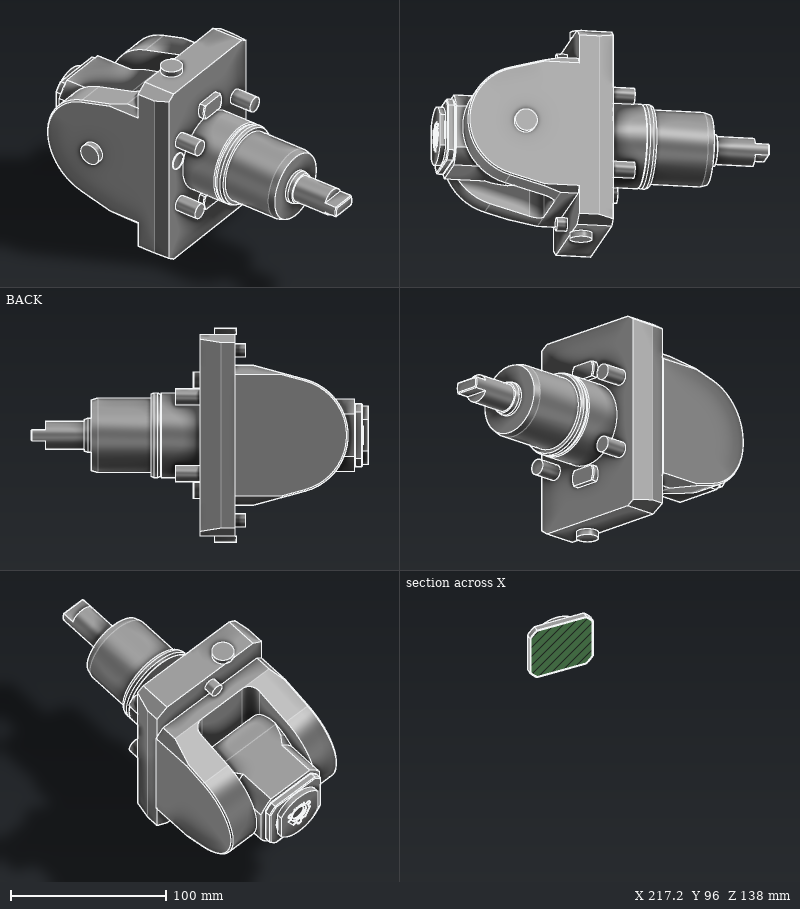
import math

import cadquery as cq


plate_thickness = 22.8
overall_height = 138.0
plate_half_height = 65.0
plate_side_plus = 46.0
plate_side_minus = 45.0
plate_corner_half_width = 37.4
plate_corner_drop = 5.2
plate_rear_half_width = 42.4
plate_side_taper = 15
plate_front_x = -plate_thickness

pivot_x = -58.2
yoke_radius = 37.4
yoke_side_plus = 47.0
yoke_side_minus = plate_side_minus
yoke_half_height = 45.2
yoke_flat_half_width = 40.8
yoke_edge_chamfer = 1.0
ridge_x = pivot_x + 24.0
pocket_corner_radius = 7.8

head_half_width = 25.5
head_half_height = 23.5
head_front_x = -99.7
head_corner_radius = 29.0
head_step_x = -73.2
head_step_radius = 32.0
head_step_length = 6.5
head_flare_radius = 35.2
head_flare_length = 12.2

cap_neck_length = 0.7
cap_front_x = -105.0
cap_half_width = 22.2
cap_half_height = 20.5
cap_corner_radius = 26.7
cap_chamfer = 0.7
nose_front_x = -108.6
nose_radius = 19.0
nose_half_width = 15.9
nose_base_radius = 17.0
nose_base_length = 0.7

socket_radius = 8.0
lobe_count = 3
lobe_radius = 1.7
lobe_centre_radius = 9.0
land_half_width = 4.3
land_reach = 8.5
socket_depth = 0.7
socket_bore_radius = 6.5
pilot_radius = 5.0

hub_radius = 27.4
groove_start = 24.8
groove_bottom = 25.5
groove_end = 27.2
groove_depth = 0.9
ring_taper_start = 29.5
ring_end = 31.5
ring_end_radius = 26.5
barrel_radius = 24.1
barrel_taper_start = 65.6
barrel_end = 70.0
barrel_end_radius = 22.8
collar_radius = 11.0
collar_taper_start = 72.0
collar_end = 74.5
collar_end_radius = 10.2
shaft_radius = 9.1
shaft_end = 108.6
shaft_chamfer = 0.7
tang_length = 9.1
tang_half_thickness = 3.7

bolt_radius = 5.2
bolt_length = 15.6
bolt_y = 30.2
bolt_z = 24.8
key_radius = 10.0
key_half_height = 5.2
key_length = 4.3
key_chamfer = 0.7
key_z = 35.6
stop_pin_radius = 4.3
stop_pin_length = 6.7
stop_pin_z = 54.7
plug_radius = 7.2
plug_height = overall_height / 2 - plate_half_height
plug_x = -16.5
plug_y = -17.0
pivot_pin_radius = 7.2
pivot_pin_end_y = -49.0
pad_radius = 5.6
pad_thickness = 0.7
pad_y = -33.0
pad_z = 10.0


def box(x_range, y_range, z_range):
    """Box given by its limits along X, Y and Z."""
    sizes = [high - low for low, high in (x_range, y_range, z_range)]
    return cq.Workplane("XY").box(*sizes, centered=False).translate((x_range[0], y_range[0], z_range[0]))


def x_cylinder(radius, x_start, x_end, y=0, z=0):
    """Cylinder parallel to the X axis."""
    return cq.Workplane("YZ", origin=(x_start, y, z)).circle(radius).extrude(x_end - x_start)


def turned(points):
    """Solid turned about the X axis from (x, radius) points."""
    outline = [(points[0][0], 0)] + points + [(points[-1][0], 0)]
    return cq.Workplane("XY").polyline(outline).close().revolve(360, (0, 0, 0), (1, 0, 0))


def cut_corner_bar(x_range, y_range, half_height, flat_half_width, drop_minus, drop_plus):
    """Bar along X with sloping corners between its sides and its flat top and bottom."""
    y_minus, y_plus = y_range
    top_points = [
        (y_plus, half_height - drop_plus), (flat_half_width, half_height),
        (-flat_half_width, half_height), (y_minus, half_height - drop_minus),
    ]
    bottom_points = [(y, -z) for y, z in reversed(top_points)]
    section = cq.Workplane("YZ", origin=(x_range[0], 0, 0)).polyline(top_points + bottom_points).close()
    return section.extrude(x_range[1] - x_range[0])


def make_plate():
    slab = cut_corner_bar(
        (plate_front_x, 0), (-plate_side_minus, plate_side_plus), plate_half_height,
        plate_corner_half_width, plate_corner_drop, plate_corner_drop,
    )

    front_half_width = plate_rear_half_width + plate_thickness * math.tan(math.radians(plate_side_taper))
    taper_outline = [
        (plate_front_x, -front_half_width), (0, -plate_rear_half_width),
        (0, plate_rear_half_width), (plate_front_x, front_half_width),
    ]
    taper = cq.Workplane("XY").polyline(taper_outline).close().extrude(plate_half_height, both=True)
    return slab.intersect(taper)


def make_yoke():
    ridge_offset = ridge_x - pivot_x
    ridge_distance = math.hypot(ridge_offset, yoke_half_height)
    touch_angle = math.atan2(yoke_half_height, ridge_offset) + math.acos(yoke_radius / ridge_distance)
    touch_x = pivot_x + yoke_radius * math.cos(touch_angle)
    touch_z = yoke_radius * math.sin(touch_angle)
    body = (
        cq.Workplane("XZ", origin=(0, yoke_side_plus, 0))
        .moveTo(plate_front_x, yoke_half_height)
        .lineTo(ridge_x, yoke_half_height)
        .lineTo(touch_x, touch_z)
        .threePointArc((pivot_x - yoke_radius, 0), (touch_x, -touch_z))
        .lineTo(ridge_x, -yoke_half_height)
        .lineTo(plate_front_x, -yoke_half_height)
        .close()
        .extrude(yoke_side_plus + yoke_side_minus)
    )
    for side in ("<Y", ">Y"):
        body = body.faces(side).edges("not >X").chamfer(yoke_edge_chamfer)

    yoke_front_x = pivot_x - yoke_radius
    body = body.intersect(cut_corner_bar(
        (yoke_front_x, plate_front_x), (-yoke_side_minus, yoke_side_plus), yoke_half_height,
        yoke_flat_half_width, yoke_side_minus - yoke_flat_half_width, yoke_side_plus - yoke_flat_half_width,
    ))

    pocket = box(
        (yoke_front_x, ridge_x),
        (-head_half_width, head_half_width),
        (-yoke_half_height, yoke_half_height),
    )
    pocket = pocket.edges("|Z and >X").fillet(pocket_corner_radius)
    return body.cut(pocket)


def make_head():
    body = (
        cq.Workplane("XZ")
        .moveTo(head_front_x, head_half_height)
        .lineTo(pivot_x, head_half_height)
        .threePointArc((pivot_x + head_half_height, 0), (pivot_x, -head_half_height))
        .lineTo(head_front_x, -head_half_height)
        .close()
        .extrude(head_half_width, both=True)
    )
    step_end_x = head_step_x + head_step_length
    corner_envelope = turned([
        (head_front_x, head_corner_radius),
        (head_step_x, head_corner_radius),
        (step_end_x, head_step_radius),
        (step_end_x + head_flare_length, head_flare_radius),
        (pivot_x + head_half_height, head_flare_radius),
    ])
    return body.intersect(corner_envelope)


def make_cap():
    def rounded_plate(x_start, x_end, inset):
        half_width = cap_half_width - inset
        half_height = cap_half_height - inset
        block = box((x_start, x_end), (-half_width, half_width), (-half_height, half_height))
        return block.intersect(x_cylinder(cap_corner_radius - inset, x_start, x_end))

    neck_x = head_front_x - cap_neck_length
    plate = rounded_plate(cap_front_x, neck_x, 0).faces("<X").edges().chamfer(cap_chamfer)
    neck = rounded_plate(neck_x, head_front_x, cap_chamfer)

    nose = x_cylinder(nose_radius, nose_front_x, cap_front_x)
    nose = nose.intersect(box(
        (nose_front_x, cap_front_x),
        (-nose_half_width, nose_half_width),
        (-nose_radius, nose_radius),
    ))
    nose_base = x_cylinder(nose_base_radius, cap_front_x - nose_base_length, cap_front_x)
    return plate.union(neck).union(nose).union(nose_base)


def make_socket():
    """Shallow socket with round lobes and flat lands in turn, and two bores in its floor."""
    floor_x = nose_front_x + socket_depth
    socket = x_cylinder(socket_radius, nose_front_x, floor_x)
    lobe = x_cylinder(lobe_radius, nose_front_x, floor_x, 0, -lobe_centre_radius)
    land = box((nose_front_x, floor_x), (-land_half_width, land_half_width), (0, land_reach))
    for index in range(lobe_count):
        angle = index * 360 / lobe_count
        socket = socket.union(lobe.union(land).rotate((0, 0, 0), (1, 0, 0), angle))
    socket = socket.union(x_cylinder(socket_bore_radius, nose_front_x, floor_x + socket_depth))
    return socket.union(x_cylinder(pilot_radius, nose_front_x, floor_x + 2 * socket_depth))


def make_spindle():
    spindle = turned([
        (0, hub_radius),
        (groove_start, hub_radius),
        (groove_bottom, hub_radius - groove_depth),
        (groove_end, hub_radius),
        (ring_taper_start, hub_radius),
        (ring_end, ring_end_radius),
        (ring_end, barrel_radius),
        (barrel_taper_start, barrel_radius),
        (barrel_end, barrel_end_radius),
        (barrel_end, collar_radius),
        (collar_taper_start, collar_radius),
        (collar_end, collar_end_radius),
        (collar_end, shaft_radius),
        (shaft_end, shaft_radius),
    ])
    tang_x = (shaft_end - tang_length, shaft_end)
    for z_range in ((tang_half_thickness, shaft_radius), (-shaft_radius, -tang_half_thickness)):
        spindle = spindle.cut(box(tang_x, (-shaft_radius, shaft_radius), z_range))
    return spindle.faces(">X").edges().chamfer(shaft_chamfer)


def make_key(z):
    """Disc with a chamfered rim, cut flat above and below."""
    disc = x_cylinder(key_radius, 0, key_length, 0, z).faces(">X").edges().chamfer(key_chamfer)
    return disc.intersect(box(
        (0, key_length),
        (-key_radius, key_radius),
        (z - key_half_height, z + key_half_height),
    ))


result = make_plate().union(make_yoke()).union(make_head()).union(make_cap())
result = result.cut(make_socket()).union(make_spindle())
stop_pin_front = plate_front_x - stop_pin_length

for side in (1, -1):
    result = result.union(make_key(side * key_z))
    result = result.union(x_cylinder(stop_pin_radius, stop_pin_front, plate_front_x, 0, side * stop_pin_z))
    plug = cq.Workplane("XY", origin=(plug_x, plug_y, side * plate_half_height)).circle(plug_radius)
    result = result.union(plug.extrude(side * plug_height))
    for y in (-bolt_y, bolt_y):
        result = result.union(x_cylinder(bolt_radius, 0, bolt_length, y, side * bolt_z))

result = result.union(x_cylinder(pad_radius, 0, pad_thickness, pad_y, pad_z))

pivot_pin = cq.Workplane("XZ", origin=(pivot_x, -head_half_width, 0)).circle(pivot_pin_radius)
result = result.union(pivot_pin.extrude(-pivot_pin_end_y - head_half_width))